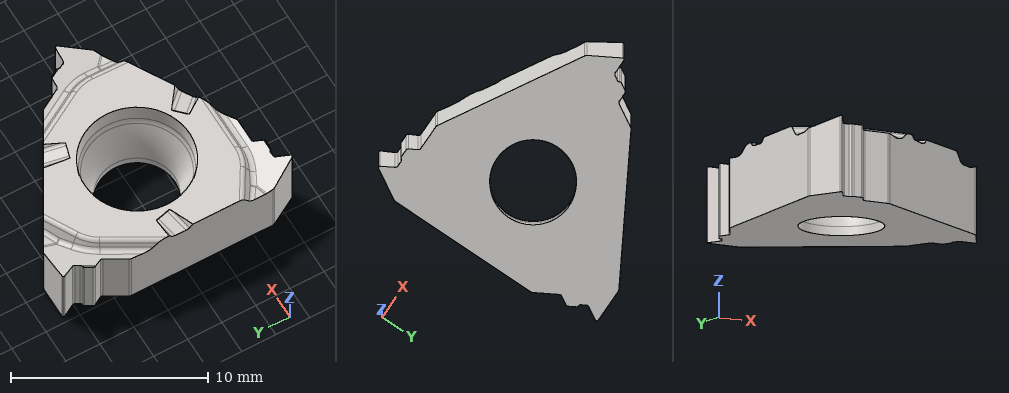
import cadquery as cq
import math

CORNERS = 3
CORNER_ANGLE = 360 / CORNERS
THICKNESS = 4.02
INSCRIBED_RADIUS = 9.525 / 2

FLANK_TAN = math.tan(math.radians(60))
APEX_X, APEX_Y = -3.753, -7.02
TIP_Y = -6.92
TIP_RADIUS = 0.06
CREST_Y = -6.15
BUMP_START_X, BUMP_Y = -2.83, -6.276
BUMP_RAMP = 0.1
RELIEF_START_X, RELIEF_Y = -1.837, -5.70
ROOT_RADIUS = 0.15
SIDE_RADIUS = 0.25

BEVEL_WIDTH = 0.075
BEVEL_DROP = 0.05

RAKE_ANGLE = 15
TIP_Z = 3.985
FLOOR_Z = 3.42
FLOOR_ANGLE = 4.4
WALL_ANGLE = 55
BLEND_RADIUS = 0.32
RIM_Y = -4.63
RIM_TURN_X = -1.905
RIM_RADIUS = 2.1
BRANCH_ANGLE = 31.5
VALLEY_POINT = (-6, -5.2, 3.5)

RIM_END_X = 8
BRANCH_LENGTH = 5
OUTSIDE_WIDTH = 6
WALL_FOOT_Z = 2
FOOT_REACH = 7.5
REACH = 20
CLEARANCE = 0.1

NOTCH_ANGLE = 14
NOTCH_FLOOR_WIDTH = 0.63
NOTCH_CENTRE_Y = 0.21
NOTCH_LENGTH = 1.29
NOTCH_SIDE_DEPTH = 0.25
NOTCH_END_DEPTH = 0.04
NOTCH_WALL_ANGLE = 45
NOTCH_FOOT_RADIUS = 0.28
NOTCH_HEIGHT = 0.6

HOLE_RADIUS = 4.4 / 2
THROAT_DEPTH = 3.55
SEAT_RADIUS = 2.87
SEAT_DEPTH = 1.24
MOUTH_FOOT_RADIUS = 2.985
MOUTH_DEPTH = 0.935
MOUTH_RADIUS = 3.075


def turned(x, y, angle):
    """Point turned about the hole axis."""
    c = math.cos(math.radians(angle))
    s = math.sin(math.radians(angle))
    return (x * c - y * s, x * s + y * c)


def corner_copies(shape):
    return [shape.rotate((0, 0, 0), (0, 0, 1), i * CORNER_ANGLE) for i in range(CORNERS)]


def make_blank():
    """Full-height insert with the tooth outline at every corner."""
    side_end_y = APEX_Y + (APEX_X + INSCRIBED_RADIUS) * FLANK_TAN
    tip_half_width = (TIP_Y - APEX_Y) / FLANK_TAN
    crest_start_x = APEX_X + (CREST_Y - APEX_Y) / FLANK_TAN
    bump_end_x = RELIEF_START_X - (RELIEF_Y - BUMP_Y) / FLANK_TAN
    side_normal = math.radians(CORNER_ANGLE / 2)
    relief_end_x = (INSCRIBED_RADIUS + RELIEF_Y * math.sin(side_normal)) / math.cos(side_normal)
    corner = [
        (-INSCRIBED_RADIUS, side_end_y, SIDE_RADIUS),
        (APEX_X - tip_half_width, TIP_Y, TIP_RADIUS),
        (APEX_X + tip_half_width, TIP_Y, TIP_RADIUS),
        (crest_start_x, CREST_Y, ROOT_RADIUS),
        (BUMP_START_X, CREST_Y, ROOT_RADIUS),
        (BUMP_START_X + BUMP_RAMP, BUMP_Y, BUMP_RAMP),
        (bump_end_x, BUMP_Y, ROOT_RADIUS),
        (RELIEF_START_X, RELIEF_Y, ROOT_RADIUS),
        (relief_end_x, RELIEF_Y, SIDE_RADIUS),
    ]
    points = [turned(x, y, i * CORNER_ANGLE) for i in range(CORNERS) for x, y, _ in corner]
    blank = cq.Workplane("XY").polyline(points).close().extrude(THICKNESS)
    for x, y, radius in corner:
        for i in range(CORNERS):
            edge_x, edge_y = turned(x, y, i * CORNER_ANGLE)
            near = cq.selectors.NearestToPointSelector((edge_x, edge_y, THICKNESS / 2))
            blank = blank.edges("|Z").edges(near).fillet(radius)
    return blank


def make_outside():
    """Space outside the rounded and sloping wall of the raised middle, beside one corner."""
    wall = math.radians(WALL_ANGLE)
    branch = math.radians(BRANCH_ANGLE)
    centre_y = RIM_Y + RIM_RADIUS

    def on_rim(angle):
        return (RIM_TURN_X - RIM_RADIUS * math.sin(angle), centre_y - RIM_RADIUS * math.cos(angle))

    def on_blend(angle):
        return (-BLEND_RADIUS * math.sin(angle), THICKNESS - BLEND_RADIUS * (1 - math.cos(angle)))

    bend_x, bend_y = on_rim(branch)
    rim = (
        cq.Workplane("XY")
        .moveTo(RIM_END_X, RIM_Y)
        .lineTo(RIM_TURN_X, RIM_Y)
        .threePointArc(on_rim(branch / 2), (bend_x, bend_y))
        .lineTo(bend_x - BRANCH_LENGTH * math.cos(branch), bend_y + BRANCH_LENGTH * math.sin(branch))
    )
    blend_y, blend_z = on_blend(wall)
    return (
        cq.Workplane("YZ", origin=(RIM_END_X, RIM_Y, 0))
        .moveTo(0, THICKNESS)
        .threePointArc(on_blend(wall / 2), (blend_y, blend_z))
        .lineTo(blend_y - (blend_z - WALL_FOOT_Z) / math.tan(wall), WALL_FOOT_Z)
        .lineTo(-OUTSIDE_WIDTH, WALL_FOOT_Z)
        .lineTo(-OUTSIDE_WIDTH, THICKNESS + CLEARANCE)
        .lineTo(0, THICKNESS + CLEARANCE)
        .close()
        .sweep(rim)
    )


def space_above(point, normal):
    """Space outside the wall above a plane floor, blended into the wall."""
    plane = cq.Plane(origin=point, xDir=(normal[2], 0, -normal[0]), normal=normal)
    below = cq.Workplane(plane).rect(2 * REACH, 2 * REACH).extrude(-REACH)
    floor = cq.selectors.ParallelDirSelector(cq.Vector(*normal))
    foot = cq.selectors.BoxSelector((-FOOT_REACH, -FOOT_REACH, 0), (FOOT_REACH, 0, THICKNESS - CLEARANCE))
    return make_outside().cut(below).faces(floor).edges(foot).fillet(BLEND_RADIUS)


def make_chip_breaker():
    """Space above both the rake face and the floor, with the valley between them rounded."""
    rake_slope = math.tan(math.radians(RAKE_ANGLE))
    floor_slope = math.tan(math.radians(FLOOR_ANGLE))
    above_rake = space_above((APEX_X, TIP_Y, TIP_Z), (0, rake_slope, 1))
    above_floor = space_above((-INSCRIBED_RADIUS, RIM_Y, FLOOR_Z), (floor_slope, 0, 1))
    valley = cq.selectors.NearestToPointSelector(VALLEY_POINT)
    return above_rake.intersect(above_floor).edges(valley).fillet(BLEND_RADIUS)


def make_bump_bevel():
    """Wedge that bevels the top edge of the bump."""
    rake_slope = math.tan(math.radians(RAKE_ANGLE))
    top_z = TIP_Z - (BUMP_Y - TIP_Y) * rake_slope
    return (
        cq.Workplane("YZ", origin=(BUMP_START_X - BUMP_RAMP, BUMP_Y, top_z - BEVEL_DROP))
        .lineTo(BEVEL_WIDTH, BEVEL_DROP - BEVEL_WIDTH * rake_slope)
        .lineTo(BEVEL_WIDTH, CLEARANCE)
        .lineTo(-CLEARANCE, CLEARANCE)
        .lineTo(-CLEARANCE, 0)
        .close()
        .extrude(RELIEF_START_X - BUMP_START_X)
    )


def make_notch():
    """Groove that gets shallower inwards, drawn along +X and then turned into place."""
    climb = math.atan2(NOTCH_SIDE_DEPTH - NOTCH_END_DEPTH, NOTCH_LENGTH)
    wall = math.radians(NOTCH_WALL_ANGLE)
    half_floor = NOTCH_FLOOR_WIDTH / 2 + NOTCH_FOOT_RADIUS * math.tan(wall / 2)
    half_top = half_floor + NOTCH_HEIGHT / math.tan(wall)
    profile_plane = cq.Plane(
        origin=(NOTCH_LENGTH, 0, THICKNESS - NOTCH_END_DEPTH),
        xDir=(0, 1, 0),
        normal=(-math.cos(climb), 0, -math.sin(climb)),
    )
    foot = cq.selectors.BoxSelector(
        (-NOTCH_LENGTH, -half_floor - CLEARANCE, 0),
        (NOTCH_LENGTH / 2, half_floor + CLEARANCE, THICKNESS),
    )
    return (
        cq.Workplane(profile_plane)
        .polyline([(-half_floor, 0), (half_floor, 0), (half_top, -NOTCH_HEIGHT), (-half_top, -NOTCH_HEIGHT)])
        .close()
        .extrude(2 * NOTCH_LENGTH)
        .edges(foot)
        .fillet(NOTCH_FOOT_RADIUS)
        .rotate((0, 0, 0), (0, 0, 1), NOTCH_ANGLE)
        .translate((-INSCRIBED_RADIUS, NOTCH_CENTRE_Y, 0))
    )


def make_hole():
    """Straight hole, curved seat tangent to it, then a rounded step up to a tapered mouth."""
    return (
        cq.Workplane("XZ")
        .lineTo(HOLE_RADIUS, 0)
        .lineTo(HOLE_RADIUS, THICKNESS - THROAT_DEPTH)
        .tangentArcPoint((SEAT_RADIUS, THICKNESS - SEAT_DEPTH), relative=False)
        .tangentArcPoint((MOUTH_FOOT_RADIUS, THICKNESS - MOUTH_DEPTH), relative=False)
        .lineTo(MOUTH_RADIUS, THICKNESS)
        .lineTo(0, THICKNESS)
        .close()
        .revolve()
    )


result = make_blank()
for cutter in (make_chip_breaker(), make_bump_bevel(), make_notch()):
    for shape in corner_copies(cutter):
        result = result.cut(shape)
result = result.cut(make_hole())